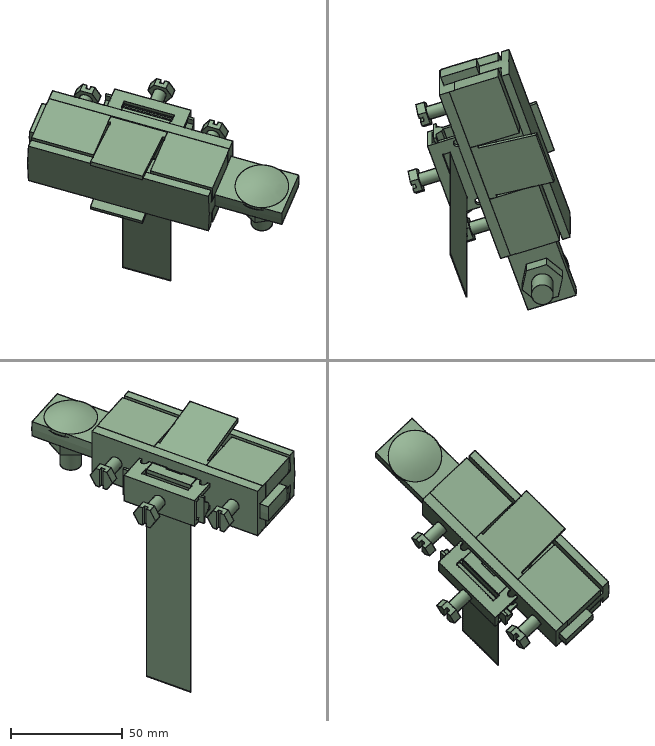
import cadquery as cq
import math


DRAFT = 2.0
BAR_HALF_HEIGHT = 4.2
BAR_HALF_LENGTH = 43.3
BAR_REAR_Y = -2.0
LEFT_EAR_END_X = -47.3
LEFT_EAR_FRONT_Y = -19.1
RIGHT_EAR_END_X = 75.1
RIGHT_EAR_FRONT_Y = -25.1
NOTCH_HALF_WIDTH = 13.8
NOTCH_FRONT_Y = -15.2
FRONT_PLATE_REAR_Y = -29.4
FRONT_PLATE_FRONT_Y = -33.0

HOUSING_HALF_HEIGHT = 12.9
PLATE_HALF_LENGTH = 42.9
PLATE_FRONT_Y = -4.7
STEP = 0.1
BLOCK_END_REAR_Y = -7.2
BLOCK_FRONT_Y = -28.0
BLOCK_GAP_HALF = 13.5
FLAP_SLOPE = 10.0
FLAP_THICKNESS = 2.2
FLAP_TIP_Y = -35.9
FLAP_TIP_Z = 17.7
FLAP_HALF_WIDTH = 12.4
FLAP_ROOT_FRONT_Y = -8.2

BRACKET_HALF_LENGTH = 18.2
BRACKET_HALF_HEIGHT = 7.4
BRACKET_DEPTH = 14.0
BRACKET_SHEET = 2.1
STRAP_SLOT_HALF_LENGTH = 12.0
STRAP_SLOT_REAR_Y = 9.0
NOTCH_X = 15.2
NOTCH_DIAMETER = 3.4
NOTCH_CENTRE_Y = 0.9

STRAP_HALF_WIDTH = 11.5
STRAP_THICKNESS = 0.4
STRAP_REAR_Y = 5.7
OVERALL_HEIGHT = 130.0
STRAP_BOTTOM_Z = FLAP_TIP_Z - OVERALL_HEIGHT
TAB_NOTCH_WIDTH = 8.2
TAB_NOTCH_DEPTH = 0.8

PRESS_HALF_LENGTH = 20.9
PRESS_REAR_Y = 10.3
PRESS_PLATE_THICKNESS = 1.2
NOSE_HALF_HEIGHT = 4.2
NOSE_TIP_HALF_HEIGHT = 2.1
NOSE_TIP_DEPTH = 0.6

SCREW_DIAMETER = 6.0
HEAD_CORNERS = 11.6
HEAD_HEIGHT = 3.9
DRIVE_SLOT_WIDTH = 1.8
DRIVE_SLOT_DEPTH = 1.7
SIDE_SCREW_X = 30.3
SIDE_SCREW_TOP_Y = 13.5
CENTRE_SCREW_TOP_Y = 27.4

BOLT_X = 61.5
BOLT_Y = (BAR_REAR_Y + RIGHT_EAR_FRONT_Y) / 2
BOLT_DIAMETER = 9.8
BOLT_BOTTOM_Z = -22.8
DOME_DIAMETER = 24.0
DOME_TOP_Z = 7.0
DOME_RIM_Z = BAR_HALF_HEIGHT
DOME_SEAT_Z = 2.2
NUT_FLATS = 16.6
NUT_HEIGHT = 6.9


def block(x0, x1, y0, y1, z0, z1):
    """A box between two limits along each axis."""
    return cq.Workplane("XY").box(x1 - x0, y1 - y0, z1 - z0, centered=False).translate((x0, y0, z0))


def centred_block(half_length, y0, y1, half_height):
    """A box that is symmetrical about X = 0 and Z = 0."""
    return block(-half_length, half_length, y0, y1, -half_height, half_height)


def mirrored_pair(body, plane):
    """A shape together with its mirror image in a plane through the origin."""
    return body.union(body.mirror(plane))


def make_screw(x, top_y, tip_y):
    """Hexagon-head screw along Y; two corners of the head lie at Z = 0."""
    head_y = top_y - HEAD_HEIGHT
    head = cq.Workplane("XZ", origin=(x, top_y, 0)).polygon(6, HEAD_CORNERS).extrude(HEAD_HEIGHT)
    shank = cq.Workplane("XZ", origin=(x, head_y, 0)).circle(SCREW_DIAMETER / 2).extrude(head_y - tip_y)
    drive_slot = centred_block(DRIVE_SLOT_WIDTH / 2, top_y - DRIVE_SLOT_DEPTH, top_y, HEAD_CORNERS)
    return head.union(shank).cut(drive_slot.translate((x, 0, 0)))


def make_bolt():
    """Bolt along Z, round about its axis, with a domed head let into the ear."""
    dome_rise = DOME_TOP_Z - DOME_RIM_Z
    rim = DOME_DIAMETER / 2
    dome_radius = (rim**2 + dome_rise**2) / (2 * dome_rise)
    mid_r = rim / 2
    mid_z = DOME_TOP_Z - dome_radius + math.sqrt(dome_radius**2 - mid_r**2)
    shank = BOLT_DIAMETER / 2
    return (
        cq.Workplane("XZ")
        .moveTo(0, BOLT_BOTTOM_Z)
        .lineTo(shank, BOLT_BOTTOM_Z)
        .lineTo(shank, DOME_SEAT_Z)
        .lineTo(rim, DOME_SEAT_Z)
        .lineTo(rim, DOME_RIM_Z)
        .threePointArc((mid_r, mid_z), (0, DOME_TOP_Z))
        .close()
        .revolve(360, (0, 0, 0), (0, 1, 0))
        .translate((BOLT_X, BOLT_Y, 0))
    )


def make_nut(bolt):
    """Hexagon nut under the ear, with two flats square to X."""
    corners = NUT_FLATS / math.cos(math.pi / 6)
    nut = cq.Workplane("XY").polygon(6, corners).extrude(-NUT_HEIGHT)
    nut = nut.rotate((0, 0, 0), (0, 0, 1), 30)
    return nut.translate((BOLT_X, BOLT_Y, -BAR_HALF_HEIGHT)).cut(bolt)


def make_terminal_bar(bolt):
    """T-section bar with an ear at each end; its side faces taper away from Z = 0."""
    stem_front_y = (FRONT_PLATE_REAR_Y + FRONT_PLATE_FRONT_Y) / 2
    outline = [
        (LEFT_EAR_END_X, BAR_REAR_Y),
        (-NOTCH_HALF_WIDTH, BAR_REAR_Y),
        (-NOTCH_HALF_WIDTH, NOTCH_FRONT_Y),
        (NOTCH_HALF_WIDTH, NOTCH_FRONT_Y),
        (NOTCH_HALF_WIDTH, BAR_REAR_Y),
        (RIGHT_EAR_END_X, BAR_REAR_Y),
        (RIGHT_EAR_END_X, RIGHT_EAR_FRONT_Y),
        (BAR_HALF_LENGTH, RIGHT_EAR_FRONT_Y),
        (BAR_HALF_LENGTH, stem_front_y),
        (-BAR_HALF_LENGTH, stem_front_y),
        (-BAR_HALF_LENGTH, LEFT_EAR_FRONT_Y),
        (LEFT_EAR_END_X, LEFT_EAR_FRONT_Y),
    ]
    upper_half = cq.Workplane("XY").polyline(outline).close().extrude(BAR_HALF_HEIGHT, taper=DRAFT)
    bar = mirrored_pair(upper_half, "XY")

    top_half_length = BAR_HALF_LENGTH - HOUSING_HALF_HEIGHT * math.tan(math.radians(DRAFT))
    plate_outline = [
        (-BAR_HALF_LENGTH, 0),
        (-top_half_length, HOUSING_HALF_HEIGHT),
        (top_half_length, HOUSING_HALF_HEIGHT),
        (BAR_HALF_LENGTH, 0),
        (top_half_length, -HOUSING_HALF_HEIGHT),
        (-top_half_length, -HOUSING_HALF_HEIGHT),
    ]
    front_plate = (
        cq.Workplane("XZ", origin=(0, FRONT_PLATE_REAR_Y, 0))
        .polyline(plate_outline)
        .close()
        .extrude(FRONT_PLATE_REAR_Y - FRONT_PLATE_FRONT_Y)
    )
    return bar.union(front_plate).cut(bolt)


def make_flap():
    """Upper flap, rising towards its tip, with a wider root at the rear plate."""
    slope = math.radians(FLAP_SLOPE)
    upper_tip_y = FLAP_TIP_Y + FLAP_THICKNESS * math.sin(slope)
    lower_tip_z = FLAP_TIP_Z - FLAP_THICKNESS * math.cos(slope)
    root_top_z = FLAP_TIP_Z - (PLATE_FRONT_Y - upper_tip_y) * math.tan(slope)
    root_bottom_z = root_top_z - FLAP_THICKNESS / math.cos(slope)
    profile = [
        (PLATE_FRONT_Y, root_top_z),
        (upper_tip_y, FLAP_TIP_Z),
        (FLAP_TIP_Y, lower_tip_z),
        (PLATE_FRONT_Y, root_bottom_z),
    ]
    flap = cq.Workplane("YZ").polyline(profile).close().extrude(BLOCK_GAP_HALF, both=True)
    side_relief = block(
        FLAP_HALF_WIDTH, BLOCK_GAP_HALF, FLAP_TIP_Y, FLAP_ROOT_FRONT_Y, 0, FLAP_TIP_Z
    )
    return flap.cut(mirrored_pair(side_relief, "YZ"))


def make_housing(terminal_bar, side_screws):
    """Rear plate with blocks and flaps, cut to fit the terminal bar and the side screws."""
    block_half_height = HOUSING_HALF_HEIGHT - STEP
    housing = centred_block(PLATE_HALF_LENGTH, PLATE_FRONT_Y, 0, HOUSING_HALF_HEIGHT)
    blocks = centred_block(PLATE_HALF_LENGTH, BLOCK_FRONT_Y, PLATE_FRONT_Y, block_half_height)
    raised_ends = centred_block(
        PLATE_HALF_LENGTH + STEP, BLOCK_FRONT_Y, BLOCK_END_REAR_Y, block_half_height
    )
    gap = centred_block(BLOCK_GAP_HALF, BLOCK_FRONT_Y, PLATE_FRONT_Y, HOUSING_HALF_HEIGHT)
    housing = housing.union(blocks).union(raised_ends).cut(gap)
    housing = housing.union(mirrored_pair(make_flap(), "XY")).cut(terminal_bar)
    for screw in side_screws:
        housing = housing.cut(screw)
    return housing


def make_bracket(centre_screw):
    """U-shaped bracket with strap slots and round-ended notches in both legs."""
    inner_half_height = BRACKET_HALF_HEIGHT - BRACKET_SHEET
    bracket = centred_block(BRACKET_HALF_LENGTH, 0, BRACKET_DEPTH, BRACKET_HALF_HEIGHT)
    inside = centred_block(BRACKET_HALF_LENGTH, 0, BRACKET_DEPTH - BRACKET_SHEET, inner_half_height)
    strap_slot = centred_block(
        STRAP_SLOT_HALF_LENGTH, STRAP_REAR_Y - STRAP_THICKNESS, STRAP_SLOT_REAR_Y, BRACKET_HALF_HEIGHT
    )
    bracket = bracket.cut(inside).cut(strap_slot).cut(centre_screw)
    radius = NOTCH_DIAMETER / 2
    for x in (-NOTCH_X, NOTCH_X):
        round_end = (
            cq.Workplane("XY", origin=(x, NOTCH_CENTRE_Y, 0))
            .circle(radius)
            .extrude(BRACKET_HALF_HEIGHT, both=True)
        )
        opening = centred_block(radius, 0, NOTCH_CENTRE_Y, BRACKET_HALF_HEIGHT).translate((x, 0, 0))
        bracket = bracket.cut(round_end).cut(opening)
    return bracket


def make_strap():
    """Vertical strip with its upper end folded forward onto the bracket."""
    top_z = BRACKET_HALF_HEIGHT + STRAP_THICKNESS
    front_y = STRAP_REAR_Y - STRAP_THICKNESS
    strip = block(-STRAP_HALF_WIDTH, STRAP_HALF_WIDTH, front_y, STRAP_REAR_Y, STRAP_BOTTOM_Z, top_z)
    fold = block(-STRAP_HALF_WIDTH, STRAP_HALF_WIDTH, 0, STRAP_REAR_Y, BRACKET_HALF_HEIGHT, top_z)
    end_notch = centred_block(TAB_NOTCH_WIDTH / 2, 0, TAB_NOTCH_DEPTH, top_z)
    return strip.union(fold).cut(end_notch)


def make_press_bar():
    """Bar with a rounded nose, held lengthwise by tall lugs outside the bracket."""
    plate_front_y = PRESS_REAR_Y - PRESS_PLATE_THICKNESS
    inner_half_height = BRACKET_HALF_HEIGHT - BRACKET_SHEET
    plate = centred_block(PRESS_HALF_LENGTH, plate_front_y, PRESS_REAR_Y, inner_half_height)
    lug = block(
        BRACKET_HALF_LENGTH, PRESS_HALF_LENGTH, plate_front_y, PRESS_REAR_Y,
        -BRACKET_HALF_HEIGHT, BRACKET_HALF_HEIGHT,
    )
    tip_start_y = STRAP_REAR_Y + NOSE_TIP_DEPTH
    nose = (
        cq.Workplane("YZ")
        .moveTo(plate_front_y, -NOSE_HALF_HEIGHT)
        .lineTo(tip_start_y, -NOSE_TIP_HALF_HEIGHT)
        .threePointArc((STRAP_REAR_Y, 0), (tip_start_y, NOSE_TIP_HALF_HEIGHT))
        .lineTo(plate_front_y, NOSE_HALF_HEIGHT)
        .close()
        .extrude(PRESS_HALF_LENGTH, both=True)
    )
    return plate.union(mirrored_pair(lug, "YZ")).union(nose)


side_screws = [make_screw(x, SIDE_SCREW_TOP_Y, BAR_REAR_Y) for x in (-SIDE_SCREW_X, SIDE_SCREW_X)]
centre_screw = make_screw(0, CENTRE_SCREW_TOP_Y, PRESS_REAR_Y)
bolt = make_bolt()
nut = make_nut(bolt)
terminal_bar = make_terminal_bar(bolt)
housing = make_housing(terminal_bar, side_screws)
bracket = make_bracket(centre_screw)
strap = make_strap()
press_bar = make_press_bar()

result = cq.Compound.makeCompound([
    housing.val(),
    terminal_bar.val(),
    bolt.val(),
    nut.val(),
    bracket.val(),
    strap.val(),
    press_bar.val(),
    centre_screw.val(),
    *[screw.val() for screw in side_screws],
])